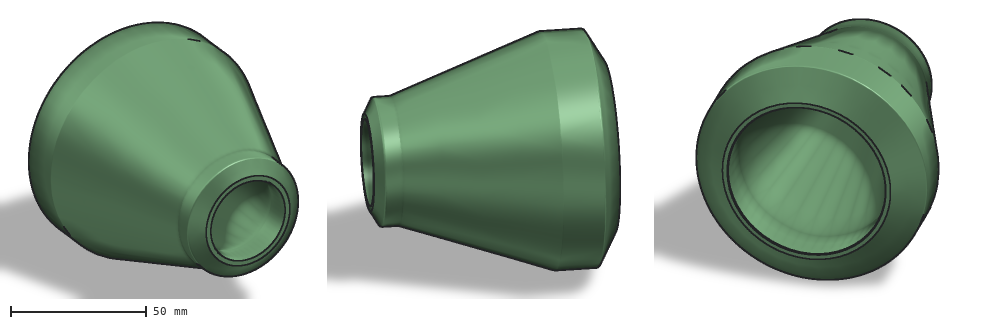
import cadquery as cq
import math

length = 90.0
large_diameter = 88.9
small_diameter = 48.3
large_bore = 60.5
small_bore = 32.3
large_face_diameter = 64.6
small_face_diameter = 36.4
taper_start = 22.9
taper_end = 80.0
bore_taper_start = 14.9
mouth_diameter = 61.0
mouth_depth = 0.45
bevel_angle = 30.0
edge_radius = 1.0


def bevel_depth(outer_diameter, face_diameter):
    """Axial depth of an end bevel."""
    return (outer_diameter - face_diameter) / 2 * math.tan(math.radians(bevel_angle))


def revolve_about_x(profile):
    """Turn a closed (axial, radial) outline about the X axis."""
    return profile.close().revolve(360, (0, 0, 0), (1, 0, 0))


def outer_body():
    large_bevel_end = bevel_depth(large_diameter, large_face_diameter)
    small_bevel_start = length - bevel_depth(small_diameter, small_face_diameter)
    body = revolve_about_x(
        cq.Workplane("XY")
        .moveTo(0, 0)
        .lineTo(0, large_face_diameter / 2)
        .lineTo(large_bevel_end, large_diameter / 2)
        .lineTo(taper_start, large_diameter / 2)
        .lineTo(taper_end, small_diameter / 2)
        .lineTo(small_bevel_start, small_diameter / 2)
        .lineTo(length, small_face_diameter / 2)
        .lineTo(length, 0)
    )
    selection_margin = 0.1
    for edge_position in (large_bevel_end, taper_start, taper_end, small_bevel_start):
        box = cq.selectors.BoxSelector(
            (edge_position - selection_margin, -length, -length),
            (edge_position + selection_margin, length, length),
            boundingbox=True,
        )
        body = body.edges(box).fillet(edge_radius)
    return body


def bore():
    """Large bore with a broken mouth edge, conical transition and small bore."""
    return revolve_about_x(
        cq.Workplane("XY")
        .moveTo(0, 0)
        .lineTo(0, mouth_diameter / 2)
        .lineTo(mouth_depth, large_bore / 2)
        .lineTo(bore_taper_start, large_bore / 2)
        .lineTo(taper_end, small_bore / 2)
        .lineTo(length, small_bore / 2)
        .lineTo(length, 0)
    )


result = outer_body().cut(bore())